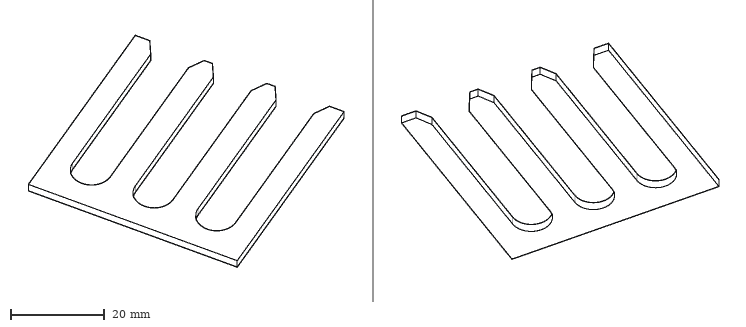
import cadquery as cq
import math

side = 50.0
thickness = 2.0

slot_count = 3
slot_pitch = 15.0
slot_width = 9.0
slot_end_center = 10.0

flare_width = 2.0
flare_angle = 60.0
flare_depth = flare_width * math.tan(math.radians(flare_angle))


def slot_cutter(center_x):
    """Solid of one slot, with its round end and flared mouth."""
    radius = slot_width / 2
    left = center_x - radius
    right = center_x + radius
    flare_start = side - flare_depth
    return (
        cq.Workplane("XY")
        .moveTo(left - flare_width, side)
        .lineTo(left, flare_start)
        .lineTo(left, slot_end_center)
        .threePointArc((center_x, slot_end_center - radius), (right, slot_end_center))
        .lineTo(right, flare_start)
        .lineTo(right + flare_width, side)
        .close()
        .extrude(thickness)
    )


result = cq.Workplane("XY").box(side, side, thickness, centered=(True, False, False))

for index in range(slot_count):
    slot_x = (index - (slot_count - 1) / 2) * slot_pitch
    result = result.cut(slot_cutter(slot_x))